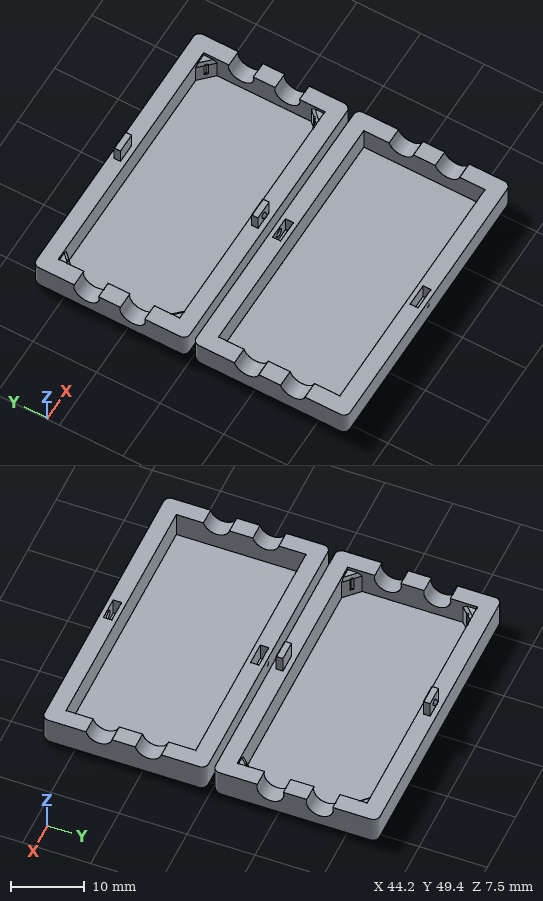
import cadquery as cq

length = 44.15
half_width = 24.2
half_height = 5.0
gap = 1.0
wall = 2.55
floor = 1.0
corner_radius = 1.0
bottom_radius = 1.2

hole_radius = 2.0
hole_spacing = 7.25
hole_drop = 0.5

tab_length = 3.0
tab_thickness = 1.0
tab_height = 2.5
bump_radius = 0.45

socket_length = 3.45
socket_width = 1.25
socket_end_clearance = 0.1
socket_depth = tab_height + socket_end_clearance
dimple_radius = 0.65

post_leg = 2.1
post_drop = 0.5
chamfer_leg = 0.6
chamfer_height = 0.42
notch_inset = 0.85
notch_height = 2.1

cavity_length = length - 2 * wall
cavity_width = half_width - 2 * wall
half_center = (half_width + gap) / 2
latch_offset = (half_width - wall) / 2
latch_level = tab_height / 2
post_top = half_height - post_drop
post_shoulder = post_top - chamfer_height
sides = (1, -1)


def standing_box(size_x, size_y, size_z, base_z=0.0):
    """Box centred on the Z axis, standing at height base_z."""
    return cq.Workplane("XY").workplane(offset=base_z).rect(size_x, size_y).extrude(size_z)


def tray_shell():
    """Open tray with rounded corners and a rounded bottom edge."""
    block = standing_box(length, half_width, half_height)
    block = block.edges("|Z").fillet(corner_radius)
    block = block.faces("<Z").edges().fillet(bottom_radius)
    cavity = standing_box(cavity_length, cavity_width, half_height - floor, floor)
    return block.cut(cavity)


def cable_holes(level):
    """Pair of cylinders along X whose axes lie at the given height."""
    centers = [(side * hole_spacing / 2, level) for side in sides]
    return cq.Workplane("YZ").pushPoints(centers).circle(hole_radius).extrude(length / 2, both=True)


def corner_post(x_side, y_side):
    """Triangular post in one cavity corner, with its inner top edge chamfered."""
    x = x_side * cavity_length / 2
    y = y_side * cavity_width / 2

    def triangle(leg):
        return [(x, y), (x - x_side * leg, y), (x, y - y_side * leg)]

    column = cq.Workplane("XY").workplane(offset=floor).polyline(triangle(post_leg)).close()
    column = column.extrude(post_shoulder - floor)
    cap = cq.Workplane("XY").workplane(offset=post_shoulder).polyline(triangle(post_leg)).close()
    cap = cap.workplane(offset=chamfer_height).polyline(triangle(post_leg - chamfer_leg)).close()
    return column.union(cap.loft(ruled=True))


def post_notches():
    """Rectangular block whose corners notch the four posts below their chamfers."""
    return standing_box(
        cavity_length - 2 * notch_inset,
        cavity_width - 2 * notch_inset,
        notch_height,
        post_shoulder - notch_height,
    )


def snap_tab(side):
    """Tab with a bump on its outer face."""
    tab = standing_box(tab_length, tab_thickness, tab_height, half_height)
    bump_place = (0, side * tab_thickness / 2, half_height + latch_level)
    bump = cq.Workplane("XY").sphere(bump_radius).translate(bump_place)
    return tab.union(bump).translate((0, side * latch_offset, 0))


def tab_socket(side):
    """Socket for a tab, with a dimple in its outer wall."""
    socket = standing_box(socket_length, socket_width, socket_depth, half_height - socket_depth)
    dimple_place = (0, side * socket_width / 2, half_height - latch_level)
    dimple = cq.Workplane("XY").sphere(dimple_radius).translate(dimple_place)
    return socket.union(dimple).translate((0, side * latch_offset, 0))


def make_base():
    body = tray_shell().cut(cable_holes(half_height - hole_drop))
    for x_side in sides:
        for y_side in sides:
            body = body.union(corner_post(x_side, y_side))
    body = body.cut(post_notches())
    for side in sides:
        body = body.union(snap_tab(side))
    return body.translate((0, half_center, 0))


def make_lid():
    body = tray_shell().cut(cable_holes(half_height + hole_drop))
    for side in sides:
        body = body.cut(tab_socket(side))
    return body.translate((0, -half_center, 0))


base = make_base()
lid = make_lid()
result = cq.Compound.makeCompound([base.solids().val(), lid.solids().val()])